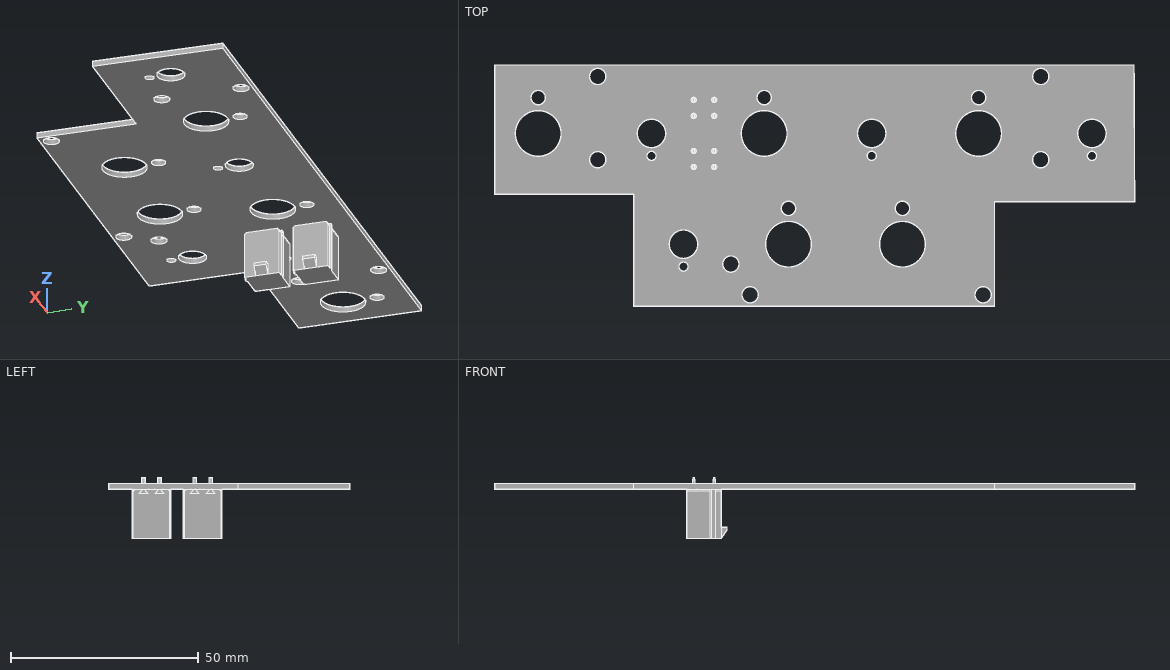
import cadquery as cq

board_length = 170.8
board_width = 64.4
top_right_x = 170.6
board_thickness = 1.5
lower_left_x = 37.0
lower_right_x = 133.4
left_step_y = 29.9
right_step_y = 27.8

socket_diameter = 12.1
socket_pilot_diameter = 3.8
socket_pilot_offset = 9.5
upper_row_y = 46.1
lower_row_y = 16.5
socket_centres = [(11.6, upper_row_y), (71.9, upper_row_y), (129.1, upper_row_y),
                  (78.4, lower_row_y), (108.8, lower_row_y)]

lamp_diameter = 7.5
lamp_pilot_diameter = 2.4
lamp_pilot_offset = 6.0
lamp_centres = [(41.8, upper_row_y), (100.6, upper_row_y), (159.3, upper_row_y), (50.4, lower_row_y)]

screw_diameter = 4.3
screw_centres = [(27.5, 61.3), (145.7, 61.3), (27.5, 39.1), (145.7, 39.1),
                 (63.0, 11.3), (68.1, 3.0), (130.3, 3.0)]

connector_x = 55.8
connector_ys = [53.0, 39.3]
pin_spacing_x = 5.5
pin_spacing_y = 4.3
pin_hole_diameter = 1.4
pin_length_x = 0.7
pin_length_y = 1.0
pin_tip_height = 0.9
pin_tip_slope = 0.2
pin_rise = 1.5

housing_length = 9.2
housing_width = 9.7
housing_height = 13.2
rib_width = 10.5
rib_start = 1.5
rib_length = 1.5
rib_slope = 0.5
edge_chamfer = 0.5

notch_top_width = 0.5
notch_bottom_width = 2.4
notch_height = 1.2
notch_depth = 0.9

latch_width = 3.5
latch_reach = 1.5
latch_height = 3.0
latch_lip = 0.9


def pin_points(y):
    """Centres of the four pins of the connector at the given Y."""
    return [(connector_x + sx * pin_spacing_x / 2, y + sy * pin_spacing_y / 2)
            for sx in (-1, 1) for sy in (-1, 1)]


def drill(plate, centres, diameter):
    """Cut round through holes in the board."""
    tool = cq.Workplane("XY").pushPoints(centres).circle(diameter / 2).extrude(board_thickness)
    return plate.cut(tool)


def make_board():
    outline = [(0, left_step_y), (lower_left_x, left_step_y), (lower_left_x, 0), (lower_right_x, 0),
               (lower_right_x, right_step_y), (board_length, right_step_y),
               (top_right_x, board_width), (0, board_width)]
    plate = cq.Workplane("XY").polyline(outline).close().extrude(board_thickness)
    plate = drill(plate, socket_centres, socket_diameter)
    plate = drill(plate, [(x, y + socket_pilot_offset) for x, y in socket_centres], socket_pilot_diameter)
    plate = drill(plate, lamp_centres, lamp_diameter)
    plate = drill(plate, [(x, y - lamp_pilot_offset) for x, y in lamp_centres], lamp_pilot_diameter)
    plate = drill(plate, screw_centres, screw_diameter)
    for y in connector_ys:
        plate = drill(plate, pin_points(y), pin_hole_diameter)
    return plate


def make_connector(y):
    """Housing with side ribs, notches, latch and four pins; its top touches the underside of the board."""
    back_x = connector_x - housing_length / 2
    front_x = connector_x + housing_length / 2
    body = (cq.Workplane("XY", origin=(connector_x, y, -housing_height))
            .box(housing_length, housing_width, housing_height, centered=(True, True, False))
            .faces(">Z").edges("|X").chamfer(edge_chamfer))

    rib_end = rib_start + rib_length
    rib_top = rib_start + rib_slope
    ribs = (cq.Workplane("XY", origin=(connector_x, y, -housing_height))
            .polyline([(rib_start, -housing_width / 2), (rib_top, -rib_width / 2), (rib_end, -rib_width / 2),
                       (rib_end, rib_width / 2), (rib_top, rib_width / 2), (rib_start, housing_width / 2)])
            .close().extrude(housing_height))
    body = body.union(ribs)

    for sy in (-1, 1):
        notch = (cq.Workplane("YZ", origin=(back_x, y + sy * pin_spacing_y / 2, 0))
                 .polyline([(-notch_top_width / 2, 0), (notch_top_width / 2, 0),
                            (notch_bottom_width / 2, -notch_height),
                            (-notch_bottom_width / 2, -notch_height)])
                 .close().extrude(notch_depth))
        body = body.cut(notch)

    latch = (cq.Workplane("XZ", origin=(front_x, y + latch_width / 2, -housing_height))
             .polyline([(0, 0), (latch_reach, latch_height - latch_lip),
                        (latch_reach, latch_height), (0, latch_height)])
             .close().extrude(latch_width))
    body = body.union(latch)

    pin_top = board_thickness + pin_rise
    for pin_x, pin_y in pin_points(y):
        pin = (cq.Workplane("XY", origin=(pin_x, pin_y, pin_top / 2))
               .box(pin_length_x, pin_length_y, pin_top)
               .faces(">Z").edges("|Y").chamfer(pin_tip_height, pin_tip_slope))
        body = body.union(pin)
    return body


board = make_board()
connectors = [make_connector(y) for y in connector_ys]
result = cq.Compound.makeCompound([board.solids().val(), *[c.solids().val() for c in connectors]])